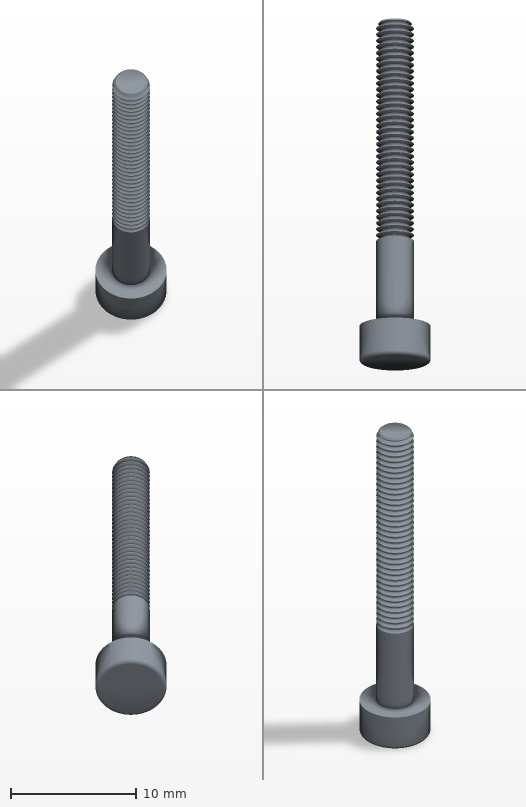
import cadquery as cq
import math

head_diameter = 5.68
head_height = 3.0
head_fillet = 0.3
screw_length = 25.0
thread_diameter = 3.0
thread_length = 18.0
tip_chamfer = 0.3

pitch = 0.5
flank_half_angle = math.radians(30)
crest_flat = pitch / 8
sharp_thread_height = pitch * math.sqrt(3) / 2
thread_depth = sharp_thread_height * 17 / 24

head_radius = head_diameter / 2
crest_radius = thread_diameter / 2
root_radius = crest_radius - thread_depth
flank_height = thread_depth * math.tan(flank_half_angle)
tip_z = head_height + screw_length
thread_start_z = tip_z - thread_length
groove_count = round(thread_length / pitch)


def ring_groove(base_z):
    """Half profile of one groove, rising from base_z to the crest flat above it."""
    top_z = base_z + pitch - crest_flat
    return [
        (-crest_radius, base_z),
        (-root_radius, base_z + flank_height),
        (-root_radius, top_z - flank_height),
        (-crest_radius, top_z),
    ]


def make_head():
    """Cylindrical head with a rounded outer edge on its end face."""
    profile = (
        cq.Workplane("YZ")
        .lineTo(-(head_radius - head_fillet), 0)
        .radiusArc((-head_radius, head_fillet), head_fillet)
        .lineTo(-head_radius, head_height)
        .lineTo(0, head_height)
        .close()
    )
    return profile.revolve(360, (0, 0), (0, 1))


def make_threaded_shank():
    """Plain shank followed by the grooved length, up to the tip."""
    outline = [(0, head_height), (-crest_radius, head_height)]
    for index in range(groove_count):
        outline += ring_groove(thread_start_z + index * pitch)
    outline += [(-crest_radius, tip_z), (0, tip_z)]
    return cq.Workplane("YZ").polyline(outline).close().revolve(360, (0, 0), (0, 1))


def make_tip_envelope():
    """Cone-topped cylinder that chamfers the tip at 45 degrees."""
    return (
        cq.Workplane("XY", origin=(0, 0, head_height))
        .circle(crest_radius)
        .extrude(screw_length)
        .faces(">Z")
        .chamfer(tip_chamfer)
    )


shank = make_threaded_shank().intersect(make_tip_envelope())
result = make_head().union(shank)